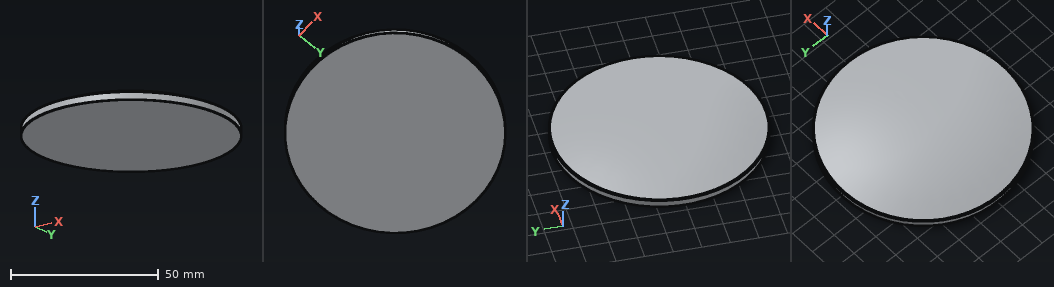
import cadquery as cq
import math

diameter = 75.0
centre_thickness = 10.99
edge_thickness = 3.0
top_bevel_width = 0.355
bottom_bevel = 0.15

rim_radius = diameter / 2
dome_edge_radius = rim_radius - top_bevel_width
flat_radius = rim_radius - bottom_bevel

sag = centre_thickness - edge_thickness
sphere_radius = (rim_radius**2 + sag**2) / (2 * sag)
sphere_centre_z = centre_thickness - sphere_radius


def dome_height(radius):
    """Height of the spherical face at a distance from the lens axis."""
    return sphere_centre_z + math.sqrt(sphere_radius**2 - radius**2)


def lens_profile():
    """Half section of the lens, with the axis as its inner side."""
    dome_edge_z = dome_height(dome_edge_radius)
    mid_radius = dome_edge_radius / 2
    return (
        cq.Workplane("XZ")
        .lineTo(flat_radius, 0)
        .lineTo(rim_radius, bottom_bevel)
        .lineTo(rim_radius, dome_edge_z - top_bevel_width)
        .lineTo(dome_edge_radius, dome_edge_z)
        .threePointArc((mid_radius, dome_height(mid_radius)), (0, centre_thickness))
        .close()
    )


result = lens_profile().revolve(360, (0, 0, 0), (0, 1, 0))